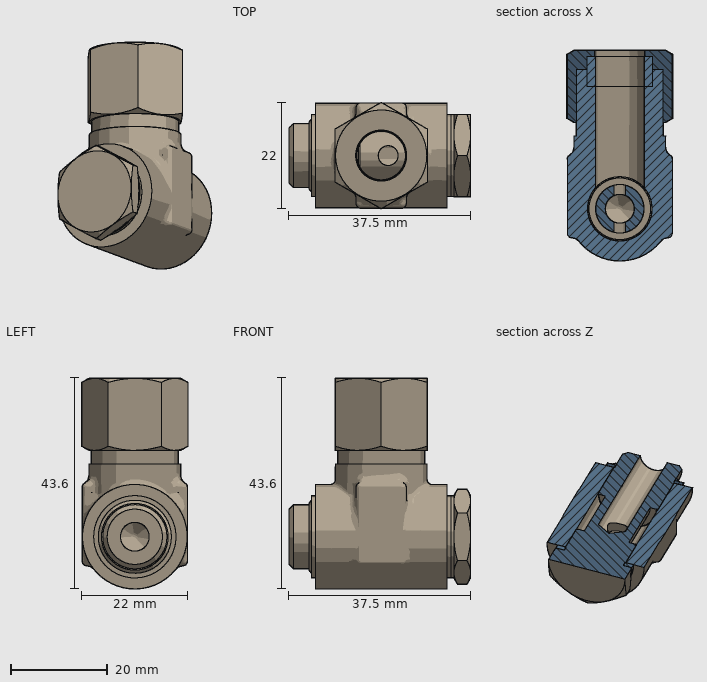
import cadquery as cq
import math


tube_radius = 5.0

shank_radius = 6.6
tip_x = -19.03
tip_chamfer = 0.9
collar_radius = 8.5
head_flats = 17.02
head_start_x = 14.98
head_end_x = 18.45
head_chamfer_radius = 8.5
waist_radius = 5.0
waist_start_x = -4.4
waist_chamfer = 0.25
bolt_bore_radius = 2.95
bolt_bore_end_x = 4.35
drill_point_angle = 118
cross_hole_radius = 2.05
cross_hole_x = 1.45
waist_end_x = 2 * cross_hole_x - waist_start_x

barrel_radius = 10.8
barrel_half_length = 13.6
lower_neck_radius = 9.5
neck_radius = 9.0
neck_step_z = 15.0
neck_top_z = 28.75
pad_half_width = 5.2
pad_reach = 10.9
pad_bottom_z = -6.0
pad_top_z = 11.2
pad_edge_fillet = 1.0
pad_root_fillet = 2.0
neck_root_fillet = 1.0

washer_radius = 8.5
washer_thickness = 0.83
retainer_thickness = 0.52
retainer_small_radius = 6.9
retainer_large_radius = 7.55

nut_corners = 21.95
nut_flats = nut_corners * math.cos(math.radians(30))
nut_top_z = 32.75
nut_bottom_z = 17.75
nut_chamfer_radius = 9.4
nut_lip_thickness = 1.35
nut_lip_radius = 5.15
nut_lip_chamfer = 0.15
ferrule_outer_radius = 6.75
ferrule_bottom_z = 25.25
ferrule_top_z = nut_top_z - nut_lip_thickness

tolerance = 0.01
hex_chamfer_slope = math.tan(math.radians(30))


def cylinder_x(radius, start_x, end_x):
    """Cylinder on the bolt axis."""
    return cq.Workplane("YZ").workplane(offset=start_x).circle(radius).extrude(end_x - start_x)


def cylinder_z(radius, bottom_z, top_z, center_x=0):
    """Cylinder parallel to the tube axis."""
    return (
        cq.Workplane("XY").workplane(offset=bottom_z)
        .center(center_x, 0).circle(radius).extrude(top_z - bottom_z)
    )


def chamfered_hexagon(flats, length, chamfer_radius):
    """Hexagon along Z from z = 0, corners on the Y axis, with 30 degree chamfers at both ends."""
    corner_radius = flats / 2 / math.cos(math.radians(30))
    chamfer_height = (corner_radius - chamfer_radius) * hex_chamfer_slope
    prism = cq.Workplane("XY").polygon(6, 2 * corner_radius).extrude(length)
    prism = prism.rotate((0, 0, 0), (0, 0, 1), 90)
    envelope = (
        cq.Workplane("XZ")
        .moveTo(0, 0)
        .lineTo(chamfer_radius, 0)
        .lineTo(corner_radius, chamfer_height)
        .lineTo(corner_radius, length - chamfer_height)
        .lineTo(chamfer_radius, length)
        .lineTo(0, length)
        .close()
        .revolve(360, (0, 0, 0), (0, 1, 0))
    )
    return prism.intersect(envelope)


def surfaces_met(edge):
    """How many of the barrel and the lower neck the middle of an inner edge lies on; 0 for other edges."""
    middle = edge.positionAt(0.5)
    at_barrel_end = abs(middle.x) > barrel_half_length - tolerance
    at_neck_step = middle.z > neck_step_z - tolerance
    on_symmetry_plane = abs(middle.y) < tolerance or abs(middle.z) < tolerance
    is_seam = edge.geomType() == "LINE" and on_symmetry_plane
    if at_barrel_end or at_neck_step or is_seam:
        return 0
    on_barrel = abs(math.hypot(middle.y, middle.z) - barrel_radius) < tolerance
    on_neck = abs(math.hypot(middle.x, middle.y) - lower_neck_radius) < tolerance
    return int(on_barrel) + int(on_neck)


def blend(body, surface_count, radius):
    """Fillet the junction edges that lie on the given number of round surfaces."""
    edges = [edge for edge in body.edges().vals() if surfaces_met(edge) == surface_count]
    return body.newObject(edges).fillet(radius)


def make_housing():
    """Barrel with two side pads and an upright neck, blended together, then bored."""
    barrel = cylinder_x(barrel_radius, -barrel_half_length, barrel_half_length)
    pads = (
        cq.Workplane("XY")
        .box(2 * pad_half_width, 2 * pad_reach, pad_top_z - pad_bottom_z)
        .translate((0, 0, (pad_top_z + pad_bottom_z) / 2))
        .edges().fillet(pad_edge_fillet)
    )
    lower_neck = cylinder_z(lower_neck_radius, 0, neck_step_z)
    body = barrel.union(pads).union(lower_neck)
    body = blend(body, 1, pad_root_fillet)
    body = blend(body, 2, neck_root_fillet)
    body = body.union(cylinder_z(neck_radius, neck_step_z, neck_top_z))
    body = body.cut(cylinder_x(shank_radius, -barrel_half_length, barrel_half_length))
    body = body.cut(cylinder_z(tube_radius, 0, neck_top_z))
    return body.cut(cylinder_z(ferrule_outer_radius, ferrule_bottom_z, neck_top_z))


def make_bolt():
    """Hollow bolt with hex head, relieved waist, blind bore and a cross hole."""
    collar_x = barrel_half_length + washer_thickness
    shank = cylinder_x(shank_radius, tip_x, collar_x).faces("<X").chamfer(tip_chamfer)
    waist = (
        cq.Workplane("XY")
        .moveTo(waist_start_x, waist_radius)
        .lineTo(waist_start_x, shank_radius - waist_chamfer)
        .lineTo(waist_start_x - waist_chamfer, shank_radius)
        .lineTo(waist_end_x + waist_chamfer, shank_radius)
        .lineTo(waist_end_x, shank_radius - waist_chamfer)
        .lineTo(waist_end_x, waist_radius)
        .close()
        .revolve(360, (0, 0, 0), (1, 0, 0))
    )
    shank = shank.cut(waist)
    collar = cylinder_x(collar_radius, collar_x, head_start_x)
    head = (
        chamfered_hexagon(head_flats, head_end_x - head_start_x, head_chamfer_radius)
        .rotate((0, 0, 0), (0, 0, 1), 90)
        .rotate((0, 0, 0), (0, 1, 0), 90)
        .translate((head_start_x, 0, 0))
    )
    point_depth = bolt_bore_radius / math.tan(math.radians(drill_point_angle / 2))
    bore = (
        cq.Workplane("XY")
        .moveTo(tip_x, 0)
        .lineTo(tip_x, bolt_bore_radius)
        .lineTo(bolt_bore_end_x, bolt_bore_radius)
        .lineTo(bolt_bore_end_x + point_depth, 0)
        .close()
        .revolve(360, (0, 0, 0), (1, 0, 0))
    )
    cross_hole = cylinder_z(cross_hole_radius, -shank_radius, shank_radius, cross_hole_x)
    return shank.union(collar).union(head).cut(bore).cut(cross_hole)


def make_washer(start_x):
    """Flat sealing washer."""
    end_x = start_x + washer_thickness
    return cylinder_x(washer_radius, start_x, end_x).cut(cylinder_x(shank_radius, start_x, end_x))


def make_retainer():
    """Conical ring that holds the washer on the bolt, tapering toward the bolt tip."""
    large_x = -barrel_half_length - washer_thickness
    small_x = large_x - retainer_thickness
    return (
        cq.Workplane("XY")
        .moveTo(small_x, shank_radius)
        .lineTo(small_x, retainer_small_radius)
        .lineTo(large_x, retainer_large_radius)
        .lineTo(large_x, shank_radius)
        .close()
        .revolve(360, (0, 0, 0), (1, 0, 0))
    )


def make_nut():
    """Union nut: hexagon with an inner lip over the ferrule and a bore around the neck."""
    nut = (
        chamfered_hexagon(nut_flats, nut_top_z - nut_bottom_z, nut_chamfer_radius)
        .translate((0, 0, nut_bottom_z))
    )
    nut = nut.cut(cylinder_z(neck_radius, nut_bottom_z, neck_top_z))
    nut = nut.cut(cylinder_z(ferrule_outer_radius, neck_top_z, ferrule_top_z))
    nut = nut.cut(cylinder_z(nut_lip_radius, ferrule_top_z, nut_top_z))
    lip_edge = nut.faces(">Z").edges("%CIRCLE").edges(cq.selectors.RadiusNthSelector(0))
    return lip_edge.chamfer(nut_lip_chamfer)


def make_ferrule():
    """Plain clamping ring seated in the top of the neck and under the nut lip."""
    ring = cylinder_z(ferrule_outer_radius, ferrule_bottom_z, ferrule_top_z)
    return ring.cut(cylinder_z(tube_radius, ferrule_bottom_z, ferrule_top_z))


housing = make_housing()
bolt = make_bolt()
washers = [make_washer(x) for x in (-barrel_half_length - washer_thickness, barrel_half_length)]
retainer = make_retainer()
nut = make_nut()
ferrule = make_ferrule()

result = cq.Compound.makeCompound([
    housing.val(),
    bolt.val(),
    *[washer.val() for washer in washers],
    retainer.val(),
    nut.val(),
    ferrule.val(),
])